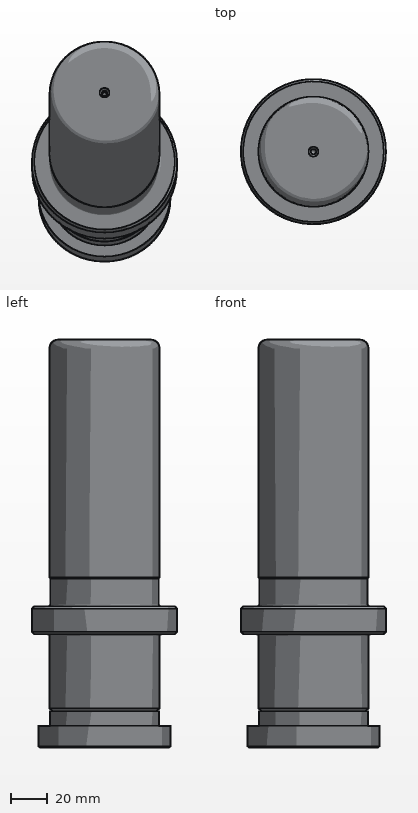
import cadquery as cq
import math

TOTAL_HEIGHT = 222.0

CAP_DIAMETER = 72.0
CAP_FLANGE_HEIGHT = 12.0
CAP_NECK_DIAMETER = 59.5
CAP_NECK_HEIGHT = 8.0
CAP_CHAMFER = 1.0

PIN_DIAMETER = 60.0
PIN_TOP_FILLET = 4.9
PIN_FOOT_CHAMFER = 1.5
PIN_BOTTOM = CAP_FLANGE_HEIGHT + CAP_NECK_HEIGHT

COLLAR_DIAMETER = 79.0
COLLAR_BOTTOM = 61.7
COLLAR_HEIGHT = 15.3
COLLAR_TOP = COLLAR_BOTTOM + COLLAR_HEIGHT
COLLAR_CHAMFER = 1.3
COLLAR_ROOT_FILLET = 1.0

RELIEF_TOP = 92.8
RELIEF_DEPTH = 0.5
RELIEF_RUNOUT = 0.9

CENTRE_MOUTH_DIAMETER = 5.3
CENTRE_BORE_DIAMETER = 2.9
COUNTERSINK_ANGLE = 90.0
DRILL_POINT_ANGLE = 120.0
CENTRE_BORE_LENGTH = 3.3


def cone_depth(radius_change, included_angle):
    """Axial length over which a cone changes radius by the given amount."""
    return radius_change / math.tan(math.radians(included_angle / 2))


def make_end_cap():
    """Chamfered flange with a plain neck on top."""
    flange = (
        cq.Workplane("XY")
        .circle(CAP_DIAMETER / 2)
        .extrude(CAP_FLANGE_HEIGHT)
        .faces("<Z")
        .chamfer(CAP_CHAMFER)
    )
    return flange.faces(">Z").workplane().circle(CAP_NECK_DIAMETER / 2).extrude(CAP_NECK_HEIGHT)


def make_centre_hole():
    """Cutter for the centre drilling, revolved about the pin axis."""
    mouth_radius = CENTRE_MOUTH_DIAMETER / 2
    bore_radius = CENTRE_BORE_DIAMETER / 2
    bore_top = TOTAL_HEIGHT - cone_depth(mouth_radius - bore_radius, COUNTERSINK_ANGLE)
    bore_bottom = bore_top - CENTRE_BORE_LENGTH
    point_tip = bore_bottom - cone_depth(bore_radius, DRILL_POINT_ANGLE)
    return (
        cq.Workplane("XZ")
        .moveTo(0, TOTAL_HEIGHT)
        .lineTo(mouth_radius, TOTAL_HEIGHT)
        .lineTo(bore_radius, bore_top)
        .lineTo(bore_radius, bore_bottom)
        .lineTo(0, point_tip)
        .close()
        .revolve(360, (0, 0, 0), (0, 1, 0))
    )


def make_pin():
    """Turned pin: half profile from the foot up to the rounded top, revolved."""
    pin_radius = PIN_DIAMETER / 2
    relief_radius = pin_radius - RELIEF_DEPTH
    collar_radius = COLLAR_DIAMETER / 2
    root = COLLAR_ROOT_FILLET
    edge = COLLAR_CHAMFER
    profile = (
        cq.Workplane("XZ")
        .moveTo(0, PIN_BOTTOM)
        .lineTo(pin_radius - PIN_FOOT_CHAMFER, PIN_BOTTOM)
        .lineTo(pin_radius, PIN_BOTTOM + PIN_FOOT_CHAMFER)
        .lineTo(pin_radius, COLLAR_BOTTOM - root)
        .radiusArc((pin_radius + root, COLLAR_BOTTOM), root)
        .lineTo(collar_radius - edge, COLLAR_BOTTOM)
        .lineTo(collar_radius, COLLAR_BOTTOM + edge)
        .lineTo(collar_radius, COLLAR_TOP - edge)
        .lineTo(collar_radius - edge, COLLAR_TOP)
        .lineTo(relief_radius + root, COLLAR_TOP)
        .radiusArc((relief_radius, COLLAR_TOP + root), root)
        .lineTo(relief_radius, RELIEF_TOP - RELIEF_RUNOUT)
        .lineTo(pin_radius, RELIEF_TOP)
        .lineTo(pin_radius, TOTAL_HEIGHT - PIN_TOP_FILLET)
        .radiusArc((pin_radius - PIN_TOP_FILLET, TOTAL_HEIGHT), -PIN_TOP_FILLET)
        .lineTo(0, TOTAL_HEIGHT)
        .close()
    )
    return profile.revolve(360, (0, 0, 0), (0, 1, 0)).cut(make_centre_hole())


end_cap = make_end_cap()
pin = make_pin()
result = cq.Compound.makeCompound([end_cap.val(), pin.val()])